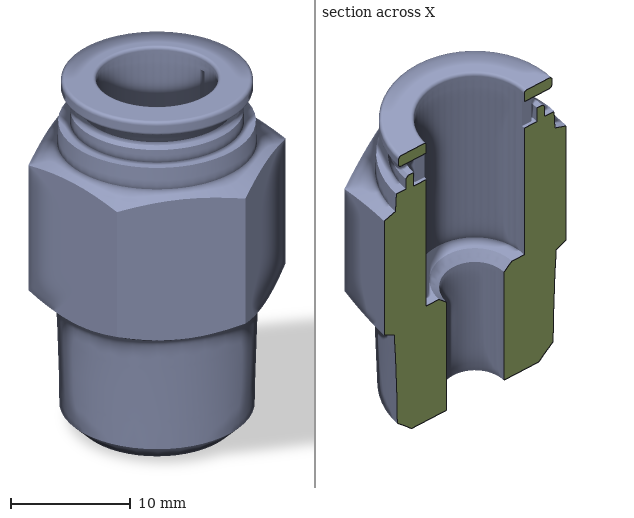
import cadquery as cq
import math

TOTAL_HEIGHT = 32.5
HEX_SIDES = 6
HEX_ACROSS_FLATS = 19.0
HEX_CORNER_RADIUS = HEX_ACROSS_FLATS / math.sqrt(3)

THREAD_TIP_RADIUS = 6.65
THREAD_TIP_CHAMFER = 1.5
THREAD_END_RADIUS = THREAD_TIP_RADIUS + THREAD_TIP_CHAMFER
THREAD_ROOT_RADIUS = 8.48
THREAD_TOP = 12.0

HEX_LOWER_CONE_ANGLE = 30.0
HEX_UPPER_CONE_HEIGHT = 1.0
SHOULDER_BOTTOM = 26.32
SHOULDER_TOP = 28.3
SHOULDER_BOTTOM_RADIUS = 8.35
SHOULDER_TOP_RADIUS = 8.25
HEX_LOWER_CORNER = THREAD_TOP + (HEX_CORNER_RADIUS - THREAD_ROOT_RADIUS) * math.tan(
    math.radians(HEX_LOWER_CONE_ANGLE)
)
HEX_UPPER_CORNER = SHOULDER_BOTTOM - HEX_UPPER_CONE_HEIGHT

COLLAR_RADIUS = 7.28
COLLAR_TOP = 29.77
COLLAR_CHAMFER = 0.3
COLLAR_INNER_RADIUS = 6.45
NECK_RADIUS = 6.08
SLEEVE_SEAT = 28.18
FLANGE_RADIUS = 8.03
FLANGE_THICKNESS = 1.3
FLANGE_FILLET = 0.32
FLANGE_BOTTOM = TOTAL_HEIGHT - FLANGE_THICKNESS

SOCKET_RADIUS = 5.1
SOCKET_MOUTH_FILLET = 0.3
SOCKET_FLOOR = HEX_LOWER_CORNER
BORE_RADIUS = 3.0
COUNTERSINK_RADIUS = 3.8
COUNTERSINK_DEPTH = COUNTERSINK_RADIUS - BORE_RADIUS

SLOT_WIDTH = 0.52
SLOT_BOTTOM = SLEEVE_SEAT
SLOT_HEIGHT = FLANGE_BOTTOM - SLOT_BOTTOM


def revolve_profile(points):
    """Revolve a closed outline of (radius, height) points about the Z axis."""
    return cq.Workplane("XZ").polyline(points).close().revolve(360, (0, 0, 0), (0, 1, 0))


def make_body():
    """Threaded end, hexagon, shoulder and collar, open around the sleeve."""
    turned = revolve_profile([
        (0, 0),
        (THREAD_TIP_RADIUS, 0),
        (THREAD_END_RADIUS, THREAD_TIP_CHAMFER),
        (THREAD_ROOT_RADIUS, THREAD_TOP),
        (HEX_CORNER_RADIUS, HEX_LOWER_CORNER),
        (HEX_CORNER_RADIUS, HEX_UPPER_CORNER),
        (SHOULDER_BOTTOM_RADIUS, SHOULDER_BOTTOM),
        (SHOULDER_TOP_RADIUS, SHOULDER_TOP),
        (COLLAR_RADIUS, SHOULDER_TOP),
        (COLLAR_RADIUS, COLLAR_TOP - COLLAR_CHAMFER),
        (COLLAR_RADIUS - COLLAR_CHAMFER, COLLAR_TOP),
        (COLLAR_INNER_RADIUS, COLLAR_TOP),
        (COLLAR_INNER_RADIUS, SLEEVE_SEAT),
        (0, SLEEVE_SEAT),
    ])
    hexagon = cq.Workplane("XY").polygon(HEX_SIDES, 2 * HEX_CORNER_RADIUS).extrude(TOTAL_HEIGHT)
    return turned.intersect(hexagon)


def make_sleeve():
    """Neck of the release sleeve with its rounded flange."""
    neck = (
        cq.Workplane("XY")
        .workplane(offset=SLEEVE_SEAT)
        .circle(NECK_RADIUS)
        .extrude(FLANGE_BOTTOM - SLEEVE_SEAT)
    )
    flange = (
        cq.Workplane("XY")
        .workplane(offset=FLANGE_BOTTOM)
        .circle(FLANGE_RADIUS)
        .extrude(FLANGE_THICKNESS)
        .edges()
        .fillet(FLANGE_FILLET)
    )
    return neck.union(flange)


def make_bore():
    """Tube socket, countersink and through bore."""
    return revolve_profile([
        (0, 0),
        (BORE_RADIUS, 0),
        (BORE_RADIUS, SOCKET_FLOOR - COUNTERSINK_DEPTH),
        (COUNTERSINK_RADIUS, SOCKET_FLOOR),
        (SOCKET_RADIUS, SOCKET_FLOOR),
        (SOCKET_RADIUS, TOTAL_HEIGHT),
        (0, TOTAL_HEIGHT),
    ])


def make_slots():
    """One bar along Y that cuts both slots in the sleeve wall."""
    return (
        cq.Workplane("XY")
        .workplane(offset=SLOT_BOTTOM)
        .rect(SLOT_WIDTH, 2 * NECK_RADIUS)
        .extrude(SLOT_HEIGHT)
    )


bored = make_body().union(make_sleeve()).cut(make_bore())
SMALLEST = 0
socket_mouth = cq.selectors.RadiusNthSelector(SMALLEST)
result = bored.faces(">Z").edges(socket_mouth).fillet(SOCKET_MOUTH_FILLET).cut(make_slots())